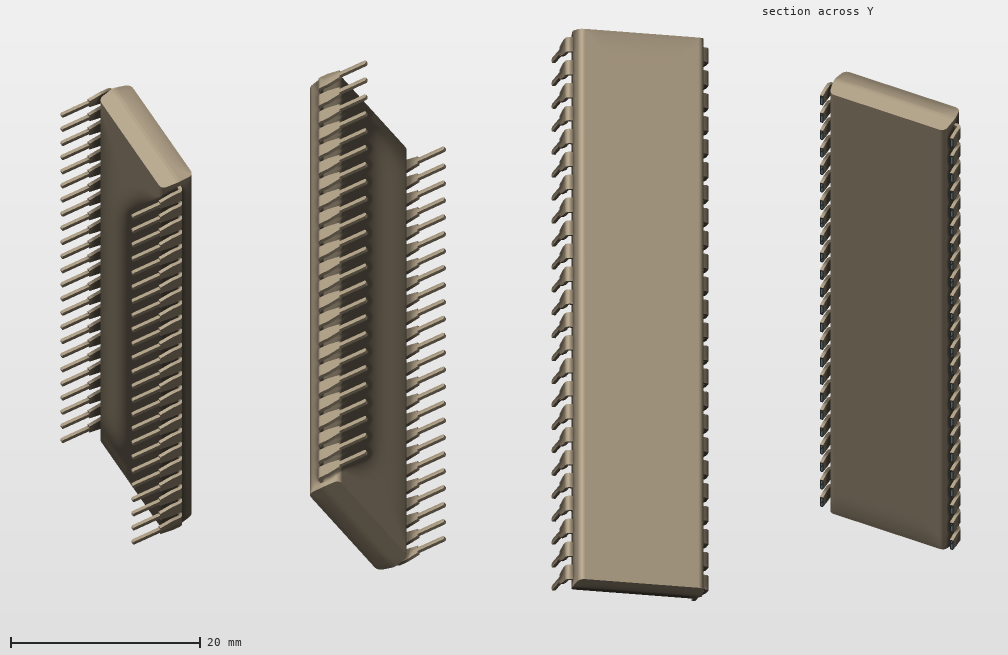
import cadquery as cq
import math

OVERALL_WIDTH = 15.6
OVERALL_DEPTH = 7.95
PACKAGE_LENGTH = 61.5

PACKAGE_WIDTH = 14.1
PACKAGE_DEPTH = 3.9
DRAFT_ANGLE = 9.0
EDGE_RADIUS = 0.7

LEADS_PER_SIDE = 24
END_MARGIN = 1.55
LEAD_THICKNESS = 0.35
BEND_RADIUS = 0.5
SHOULDER_WIDTH = 1.6
TAPER_END_WIDTH = 1.05
TIP_WIDTH = 0.52
TIP_CHAMFER = 0.1
TAPER_START = 3.15
TAPER_END = 4.6
LEAD_EMBED = 0.6

LEAD_PITCH = (PACKAGE_LENGTH - 2 * END_MARGIN) / (LEADS_PER_SIDE - 1)
TOP_Y = OVERALL_DEPTH / 2
TIP_Y = -OVERALL_DEPTH / 2
BAND_Y = TOP_Y - PACKAGE_DEPTH / 2
HALF_DEPTH = (PACKAGE_DEPTH - LEAD_THICKNESS) / 2
LEAD_OUTER_X = OVERALL_WIDTH / 2
LEAD_INNER_X = LEAD_OUTER_X - LEAD_THICKNESS
LEAD_TOP_Y = BAND_Y + LEAD_THICKNESS / 2
LEAD_BOTTOM_Y = BAND_Y - LEAD_THICKNESS / 2


def package_half(side):
    """Drafted half of the package on the +Y (side=1) or -Y (side=-1) face of the band."""
    half = (
        cq.Workplane("XZ", origin=(0, BAND_Y + side * LEAD_THICKNESS / 2, 0))
        .rect(PACKAGE_WIDTH, PACKAGE_LENGTH)
        .extrude(-side * HALF_DEPTH, taper=DRAFT_ANGLE)
    )
    outer_face = ">Y" if side > 0 else "<Y"
    return half.faces(outer_face).edges("|Z").fillet(EDGE_RADIUS)


def package():
    """Two drafted halves joined by the flat parting band."""
    band = cq.Workplane("XY").box(PACKAGE_WIDTH, LEAD_THICKNESS, PACKAGE_LENGTH)
    return band.translate((0, BAND_Y, 0)).union(package_half(1)).union(package_half(-1))


def bent_strip():
    """Lead section in XY, bent down from the band and extruded to the shoulder width."""
    root_x = PACKAGE_WIDTH / 2 - LEAD_EMBED
    bend_x = LEAD_OUTER_X - BEND_RADIUS
    bend_y = LEAD_TOP_Y - BEND_RADIUS
    inner_radius = BEND_RADIUS - LEAD_THICKNESS
    diagonal = math.sqrt(0.5)
    outer_mid = (bend_x + BEND_RADIUS * diagonal, bend_y + BEND_RADIUS * diagonal)
    inner_mid = (bend_x + inner_radius * diagonal, bend_y + inner_radius * diagonal)
    return (
        cq.Workplane("XY")
        .moveTo(root_x, LEAD_TOP_Y)
        .lineTo(bend_x, LEAD_TOP_Y)
        .threePointArc(outer_mid, (LEAD_OUTER_X, bend_y))
        .lineTo(LEAD_OUTER_X, TIP_Y)
        .lineTo(LEAD_INNER_X, TIP_Y)
        .lineTo(LEAD_INNER_X, bend_y)
        .threePointArc(inner_mid, (bend_x, LEAD_BOTTOM_Y))
        .lineTo(root_x, LEAD_BOTTOM_Y)
        .close()
        .extrude(SHOULDER_WIDTH / 2, both=True)
    )


def lead_outline():
    """Lead silhouette in YZ: wide shoulder, taper, step, narrow tip with chamfered corners."""
    taper_end_y = TOP_Y - TAPER_END
    upper_edge = [
        (TOP_Y, SHOULDER_WIDTH / 2),
        (TOP_Y - TAPER_START, SHOULDER_WIDTH / 2),
        (taper_end_y, TAPER_END_WIDTH / 2),
        (taper_end_y, TIP_WIDTH / 2),
        (TIP_Y, TIP_WIDTH / 2),
    ]
    lower_edge = [(y, -z) for y, z in reversed(upper_edge)]
    return (
        cq.Workplane("YZ")
        .polyline(upper_edge + lower_edge)
        .close()
        .extrude(OVERALL_WIDTH)
        .edges("|X and <Y")
        .chamfer(TIP_CHAMFER)
    )


right_lead = bent_strip().intersect(lead_outline())
left_lead = right_lead.mirror("YZ")

result = package()
for index in range(LEADS_PER_SIDE):
    lead_z = -PACKAGE_LENGTH / 2 + END_MARGIN + index * LEAD_PITCH
    for lead in (left_lead, right_lead):
        result = result.union(lead.translate((0, 0, lead_z)))